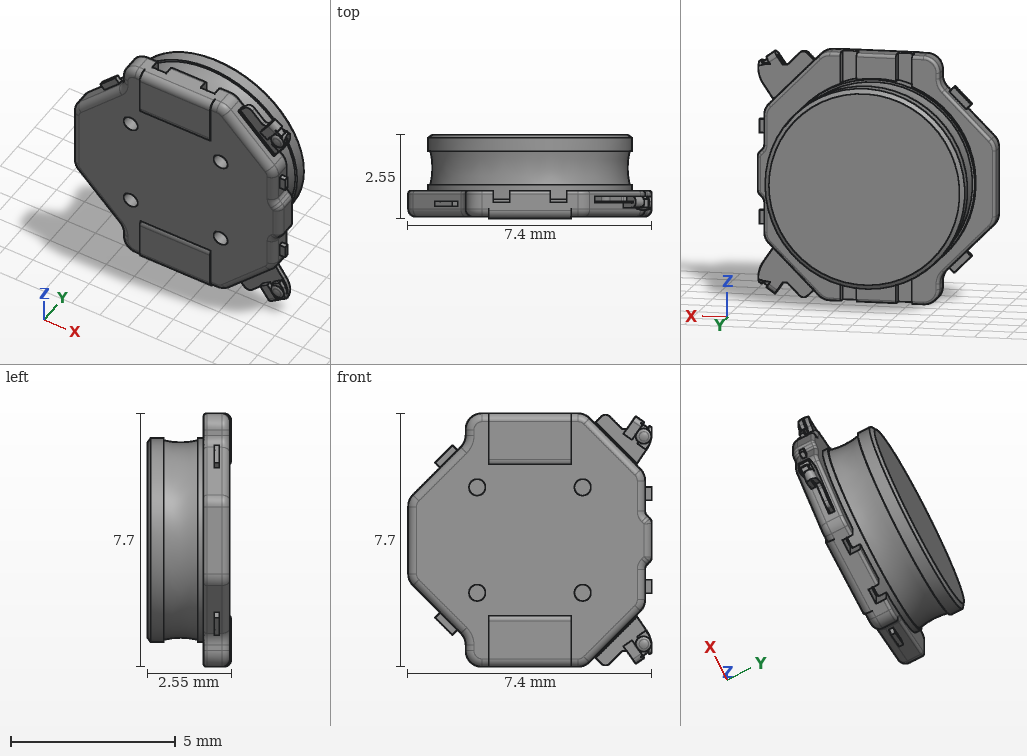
import cadquery as cq
import math

PLATE_THICKNESS = 0.8
PLATE_HALF_X = 3.7
PLATE_HALF_Z = 3.85
CORNER_RADIUS = 0.5
MOUNTING_EDGE_RADIUS = 0.25
DRUM_EDGE_RADIUS = 0.1
PICK_REACH = 0.01
SHOULDER_X = -1.955
BEVEL_LEFT = 4.925
BEVEL_RIGHT = 5.507
RIGHT_SIDE_X = 3.5
NOSE_HALF_Z = 0.6
NOSE_RADIUS = 0.2

PAD_WIDTH = 2.5
PAD_INNER_Z = 2.2
PAD_PROUD = 0.05

HOLE_DIAMETER = 0.5
HOLE_OFFSET = 1.6
HOLE_DEPTH = 0.45
SLOT_WIDTH = 0.5
SLOT_CENTRE_X = 0.86
SLOT_FLOOR_Y = 0.45
SLOT_INNER_Z = 2.6

DRUM_RADIUS = 3.1
DRUM_BOTTOM_Y = 0.53
DRUM_TOP_Y = 2.5
GROOVE_START_Y = 0.98
GROOVE_END_Y = 2.0
GROOVE_EDGE_RADIUS = 3.03
GROOVE_WAIST_RADIUS = 2.97
DRUM_CHAMFER_AXIAL = 0.1
DRUM_CHAMFER_RADIAL = 0.14

SHEET = 0.15
TAB_BOTTOM_Y = 0.32
TAB_REACH = 3.7
TAB_EMBED = 0.4
BEVEL_TAB_WIDTH = 0.75
SIDE_TAB_WIDTH = 0.415
SIDE_TAB_Z = 1.41

BEND_RADIUS = 0.175
FINGER_CENTRE_Y = 0.455
TERMINAL_BOTTOM_Y = FINGER_CENTRE_Y + BEND_RADIUS - SHEET
TERMINAL_TIP = (2.293, 3.88)
TERMINAL_TIP_RADIUS = 0.18
TERMINAL_VALLEY = (2.8, 3.37)
TERMINAL_VALLEY_RADIUS = 0.08
TERMINAL_RIGHT_FOOT = (3.254, 2.326)
TERMINAL_RIGHT_KNEE = (3.529, 2.731)
TERMINAL_RIGHT_BULGE = (3.66, 2.99)
TERMINAL_RIGHT_SHOULDER = (3.7, 3.3)
FINGER_TAIL = (2.834, 3.223)
FINGER_ANGLE = math.radians(55)
FINGER_LENGTH = 0.655
FINGER_WIDTH = 0.32
FINGER_PITCH = 0.51
ROOT_STEP = 0.045
ROOT_SPAN = (-1.12, 0.66)
WEB_ALONG = (0.2, 0.58)
WEB_ACROSS = (0.25, 0.54)
WEB_BOTTOM_Y = 0.3
WEB_TOP_Y = 0.53
SOLDER_CENTRE = (3.45, 3.15)
SOLDER_RADIUS = 0.24
SOLDER_BOTTOM_Y = 0.2
SOLDER_EDGE_RADIUS = 0.095
SOLDER_DOME_HEIGHT = 0.03


def sketch_at(y):
    """Workplane parallel to XZ at height y; its coordinates are (x, z)."""
    return cq.Workplane("XZ", origin=(0, y, 0))


def box(x_range, y_range, z_range):
    sizes = [high - low for low, high in (x_range, y_range, z_range)]
    corner = (x_range[0], y_range[0], z_range[0])
    return cq.Workplane("XY").box(*sizes, centered=False).translate(corner)


def mirror_z(solid):
    return solid.mirror("XY")


def round_corner_at(solid, x, z, radius):
    """Round the pair of edges along Y that stand at (x, +z) and (x, -z)."""
    for side in (1, -1):
        low = (x - PICK_REACH, 0, side * z - PICK_REACH)
        high = (x + PICK_REACH, PLATE_THICKNESS, side * z + PICK_REACH)
        solid = solid.edges("|Y").edges(cq.selectors.BoxSelector(low, high)).fillet(radius)
    return solid


def make_plate():
    nose_root_z = NOSE_HALF_Z + PLATE_HALF_X - RIGHT_SIDE_X
    body_corners = [
        (-PLATE_HALF_X, BEVEL_LEFT - PLATE_HALF_X),
        (SHOULDER_X, BEVEL_LEFT + SHOULDER_X),
        (SHOULDER_X, PLATE_HALF_Z),
        (BEVEL_RIGHT - PLATE_HALF_Z, PLATE_HALF_Z),
        (RIGHT_SIDE_X, BEVEL_RIGHT - RIGHT_SIDE_X),
    ]
    nose_corners = [
        (RIGHT_SIDE_X, nose_root_z),
        (PLATE_HALF_X, NOSE_HALF_Z),
    ]
    upper = body_corners + nose_corners
    lower = [(x, -z) for x, z in reversed(upper)]
    plate = sketch_at(0).polyline(upper + lower).close().extrude(-PLATE_THICKNESS)
    for x, z in body_corners:
        plate = round_corner_at(plate, x, z, CORNER_RADIUS)
    for x, z in nose_corners:
        plate = round_corner_at(plate, x, z, NOSE_RADIUS)
    plate = plate.faces("<Y").edges().fillet(MOUNTING_EDGE_RADIUS)
    return plate.faces(">Y").edges().fillet(DRUM_EDGE_RADIUS)


def make_pad():
    pad = box(
        (-PAD_WIDTH / 2, PAD_WIDTH / 2),
        (-PAD_PROUD, SLOT_FLOOR_Y),
        (PAD_INNER_Z, PLATE_HALF_Z),
    )
    return pad.faces("<Y").edges("|X").fillet(MOUNTING_EDGE_RADIUS)


def make_holes():
    spacing = 2 * HOLE_OFFSET
    centres = sketch_at(0).rect(spacing, spacing, forConstruction=True).vertices()
    return centres.circle(HOLE_DIAMETER / 2).extrude(-HOLE_DEPTH)


def make_slot(centre_x):
    return box(
        (centre_x - SLOT_WIDTH / 2, centre_x + SLOT_WIDTH / 2),
        (SLOT_FLOOR_Y, PLATE_THICKNESS),
        (SLOT_INNER_Z, PLATE_HALF_Z),
    )


def make_drum():
    groove_middle = (GROOVE_START_Y + GROOVE_END_Y) / 2
    return (
        cq.Workplane("XY")
        .moveTo(0, DRUM_BOTTOM_Y)
        .lineTo(DRUM_RADIUS, DRUM_BOTTOM_Y)
        .lineTo(DRUM_RADIUS, GROOVE_START_Y)
        .lineTo(GROOVE_EDGE_RADIUS, GROOVE_START_Y)
        .threePointArc((GROOVE_WAIST_RADIUS, groove_middle), (GROOVE_EDGE_RADIUS, GROOVE_END_Y))
        .lineTo(DRUM_RADIUS, GROOVE_END_Y)
        .lineTo(DRUM_RADIUS, DRUM_TOP_Y - DRUM_CHAMFER_AXIAL)
        .lineTo(DRUM_RADIUS - DRUM_CHAMFER_RADIAL, DRUM_TOP_Y)
        .lineTo(0, DRUM_TOP_Y)
        .close()
        .revolve(360, (0, 0, 0), (0, 1, 0))
    )


def make_tab(width, centre_z):
    """Flat tab pointing along +X, with its tip TAB_REACH from the part axis."""
    return box(
        (TAB_REACH - TAB_EMBED, TAB_REACH),
        (TAB_BOTTOM_Y, TAB_BOTTOM_Y + SHEET),
        (centre_z - width / 2, centre_z + width / 2),
    )


def make_bevel_tab():
    """Tab on the -X, +Z bevel, square to that bevel."""
    return make_tab(BEVEL_TAB_WIDTH, 0).rotate((0, 0, 0), (0, 1, 0), -135)


def make_terminal_sheet():
    tip_x, tip_z = TERMINAL_TIP
    valley_x, valley_z = TERMINAL_VALLEY
    foot_x, foot_z = TERMINAL_RIGHT_FOOT
    left_foot = (tip_x - 2 * TAB_EMBED, tip_z - 2 * TAB_EMBED)
    sheet = (
        sketch_at(TERMINAL_BOTTOM_Y)
        .moveTo(*left_foot)
        .lineTo(tip_x, tip_z)
        .lineTo(valley_x, valley_z)
        .lineTo(SOLDER_CENTRE[0], valley_z)
        .lineTo(TERMINAL_RIGHT_SHOULDER[0], TERMINAL_RIGHT_SHOULDER[1])
        .threePointArc(TERMINAL_RIGHT_BULGE, TERMINAL_RIGHT_KNEE)
        .lineTo(foot_x, foot_z)
        .lineTo(foot_x - TAB_EMBED, foot_z - TAB_EMBED)
        .close()
        .extrude(-SHEET)
    )
    middle_y = TERMINAL_BOTTOM_Y + SHEET / 2
    tip_edge = cq.selectors.NearestToPointSelector((tip_x, middle_y, tip_z))
    valley_edge = cq.selectors.NearestToPointSelector((valley_x, middle_y, valley_z))
    sheet = sheet.edges(tip_edge).fillet(TERMINAL_TIP_RADIUS)
    return sheet.edges(valley_edge).fillet(TERMINAL_VALLEY_RADIUS)


def finger_workplane(sideways):
    """Side plane of a finger: x runs from tail to bend, y towards the mounting face."""
    along = (math.cos(FINGER_ANGLE), math.sin(FINGER_ANGLE))
    across = (along[1], -along[0])
    origin = (
        FINGER_TAIL[0] + sideways * across[0],
        FINGER_CENTRE_Y,
        FINGER_TAIL[1] + sideways * across[1],
    )
    return cq.Workplane(cq.Plane(origin, xDir=(along[0], 0, along[1]), normal=(across[0], 0, across[1])))


def make_finger(sideways):
    """U-bent strip: both arms start at the tail and meet in a round bend."""
    straight = FINGER_LENGTH - BEND_RADIUS
    inner_radius = BEND_RADIUS - SHEET
    return (
        finger_workplane(sideways)
        .moveTo(0, BEND_RADIUS)
        .lineTo(straight, BEND_RADIUS)
        .threePointArc((FINGER_LENGTH, 0), (straight, -BEND_RADIUS))
        .lineTo(0, -BEND_RADIUS)
        .lineTo(0, -inner_radius)
        .lineTo(straight, -inner_radius)
        .threePointArc((straight + inner_radius, 0), (straight, inner_radius))
        .lineTo(0, inner_radius)
        .close()
        .extrude(FINGER_WIDTH)
    )


def make_outer_finger():
    """Second finger, trimmed by the rounded outer edge of the terminal."""
    shoulder_x, shoulder_z = TERMINAL_RIGHT_SHOULDER
    knee_x, knee_z = TERMINAL_RIGHT_KNEE
    inside_x = FINGER_TAIL[0]
    envelope = (
        sketch_at(0)
        .moveTo(inside_x, knee_z)
        .lineTo(knee_x, knee_z)
        .threePointArc(TERMINAL_RIGHT_BULGE, TERMINAL_RIGHT_SHOULDER)
        .lineTo(shoulder_x, shoulder_z + FINGER_LENGTH)
        .lineTo(inside_x, shoulder_z + FINGER_LENGTH)
        .close()
        .extrude(-PLATE_THICKNESS)
    )
    return make_finger(FINGER_PITCH).intersect(envelope)


def make_solder_joint():
    """Round post along Y with a rounded rim and a shallow dome towards the mounting face."""
    rim_y = SOLDER_BOTTOM_Y + SOLDER_DOME_HEIGHT
    dome_edge = SOLDER_RADIUS - SOLDER_EDGE_RADIUS
    side_y = rim_y + SOLDER_EDGE_RADIUS
    top_y = TERMINAL_BOTTOM_Y + SHEET / 2
    rim_middle = SOLDER_EDGE_RADIUS * math.sqrt(0.5)
    dome_radius = (dome_edge**2 + SOLDER_DOME_HEIGHT**2) / (2 * SOLDER_DOME_HEIGHT)
    half_edge = dome_edge / 2
    half_edge_y = SOLDER_BOTTOM_Y + dome_radius - math.sqrt(dome_radius**2 - half_edge**2)
    joint = (
        cq.Workplane("XY")
        .moveTo(0, top_y)
        .lineTo(0, SOLDER_BOTTOM_Y)
        .threePointArc((half_edge, half_edge_y), (dome_edge, rim_y))
        .threePointArc((dome_edge + rim_middle, side_y - rim_middle), (SOLDER_RADIUS, side_y))
        .lineTo(SOLDER_RADIUS, top_y)
        .close()
        .revolve(360, (0, 0, 0), (0, 1, 0))
    )
    return joint.translate((SOLDER_CENTRE[0], 0, SOLDER_CENTRE[1]))


def make_web():
    """Solder block that joins the two fingers and the post."""
    start, end = WEB_ALONG
    low, high = WEB_ACROSS
    top = FINGER_CENTRE_Y - WEB_TOP_Y
    bottom = FINGER_CENTRE_Y - WEB_BOTTOM_Y
    profile = finger_workplane(low).moveTo(start, top).lineTo(end, top).lineTo(end, bottom)
    return profile.lineTo(start, bottom).close().extrude(high - low)


def make_root_step():
    """Low step along the bevel that supports the sheet where it leaves the plate."""
    bevel_distance = BEVEL_RIGHT / math.sqrt(2)
    step = box(
        (bevel_distance - TAB_EMBED, bevel_distance + ROOT_STEP),
        (TERMINAL_BOTTOM_Y - ROOT_STEP, TERMINAL_BOTTOM_Y + SHEET / 2),
        (-ROOT_SPAN[1], -ROOT_SPAN[0]),
    )
    return step.rotate((0, 0, 0), (0, 1, 0), -45)


def make_terminal():
    terminal = make_terminal_sheet().union(make_root_step())
    for piece in (make_finger(0), make_outer_finger(), make_solder_joint(), make_web()):
        terminal = terminal.union(piece)
    return terminal


body = make_plate()
for feature in (make_pad(), make_bevel_tab(), make_tab(SIDE_TAB_WIDTH, SIDE_TAB_Z), make_terminal()):
    body = body.union(feature).union(mirror_z(feature))
body = body.cut(make_holes())
for side in (1, -1):
    slot = make_slot(side * SLOT_CENTRE_X)
    body = body.cut(slot).cut(mirror_z(slot))

result = body.union(make_drum())